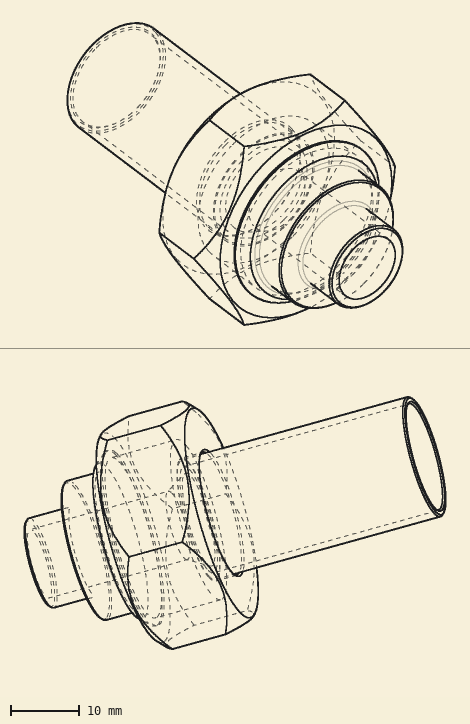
import cadquery as cq
import math

total_length = 59.5

nut_start = 31.4
nut_end = 45.05
across_flats = 32.0
across_corners = across_flats / math.cos(math.pi / 6)
nut_face_diameter = 31.55
nut_web = 3.55
clearance_bore = 18.5
clearance_bore_chamfer = 0.3
thread_diameter = 24.1

tube_outer = 18.0
tube_inner = 16.0
tube_outer_chamfer = 0.25
tube_inner_chamfer = 0.25

joint = nut_start + nut_web
flange_diameter = 26.4
flange_rim = 0.3
cone_small_diameter = 23.5
cone_end = 47.0
shoulder_diameter = 21.0
shoulder_end = 52.4
shoulder_chamfer = 0.25
spigot_diameter = 13.5
spigot_chamfer = 0.3
root_fillet = 0.5
through_bore = 10.3
countersink_diameter = 14.0
countersink_half_angle = math.radians(30)


def cylinder(diameter, start, end):
    """Cylinder along X between two positions."""
    return cq.Workplane("YZ", origin=(start, 0, 0)).circle(diameter / 2).extrude(end - start)


def cone(start_diameter, end_diameter, start, end):
    """Truncated cone along X between two positions."""
    return cq.Workplane("XY").polyline([
        (start, 0),
        (start, start_diameter / 2),
        (end, end_diameter / 2),
        (end, 0),
    ]).close().revolve(360, (0, 0, 0), (1, 0, 0))


def make_tube():
    tube = cylinder(tube_outer, 0, joint)
    tube = tube.faces("<X").chamfer(tube_outer_chamfer)
    tube = tube.cut(cylinder(tube_inner, 0, joint))
    mouth_diameter = tube_inner + 2 * tube_inner_chamfer
    return tube.cut(cone(mouth_diameter, tube_inner, 0, tube_inner_chamfer))


def make_nut():
    length = nut_end - nut_start
    hexagon = cq.Workplane("YZ", origin=(nut_start, 0, 0)).polygon(6, across_corners).extrude(length)

    corner_chamfer = (across_corners - nut_face_diameter) / 2
    blank = cylinder(across_corners, nut_start, nut_end).faces("<X or >X").chamfer(corner_chamfer)
    nut = hexagon.intersect(blank)

    nut = nut.cut(cylinder(clearance_bore, nut_start, nut_end))
    nut = nut.cut(cylinder(thread_diameter, joint, nut_end))
    mouth_diameter = clearance_bore + 2 * clearance_bore_chamfer
    mouth_end = nut_start + clearance_bore_chamfer
    return nut.cut(cone(mouth_diameter, clearance_bore, nut_start, mouth_end))


def make_fitting():
    thread_radius = thread_diameter / 2
    flange_radius = flange_diameter / 2
    shoulder_radius = shoulder_diameter / 2
    spigot_radius = spigot_diameter / 2
    fillet_sagitta = root_fillet * (1 - math.sqrt(0.5))
    profile = (
        cq.Workplane("XY")
        .moveTo(joint, 0)
        .lineTo(joint, thread_radius)
        .lineTo(nut_end, thread_radius)
        .lineTo(nut_end, flange_radius)
        .lineTo(nut_end + flange_rim, flange_radius)
        .lineTo(cone_end, cone_small_diameter / 2)
        .lineTo(cone_end, shoulder_radius + root_fillet)
        .threePointArc(
            (cone_end + fillet_sagitta, shoulder_radius + fillet_sagitta),
            (cone_end + root_fillet, shoulder_radius),
        )
        .lineTo(shoulder_end - shoulder_chamfer, shoulder_radius)
        .lineTo(shoulder_end, shoulder_radius - shoulder_chamfer)
        .lineTo(shoulder_end, spigot_radius + root_fillet)
        .threePointArc(
            (shoulder_end + fillet_sagitta, spigot_radius + fillet_sagitta),
            (shoulder_end + root_fillet, spigot_radius),
        )
        .lineTo(total_length - spigot_chamfer, spigot_radius)
        .lineTo(total_length, spigot_radius - spigot_chamfer)
        .lineTo(total_length, 0)
        .close()
    )
    fitting = profile.revolve(360, (0, 0, 0), (1, 0, 0))

    fitting = fitting.cut(cylinder(through_bore, joint, total_length))
    countersink_depth = (countersink_diameter - through_bore) / 2 / math.tan(countersink_half_angle)
    return fitting.cut(cone(countersink_diameter, through_bore, joint, joint + countersink_depth))


tube = make_tube()
nut = make_nut()
fitting = make_fitting()

result = cq.Compound.makeCompound([tube.val(), nut.val(), fitting.val()])